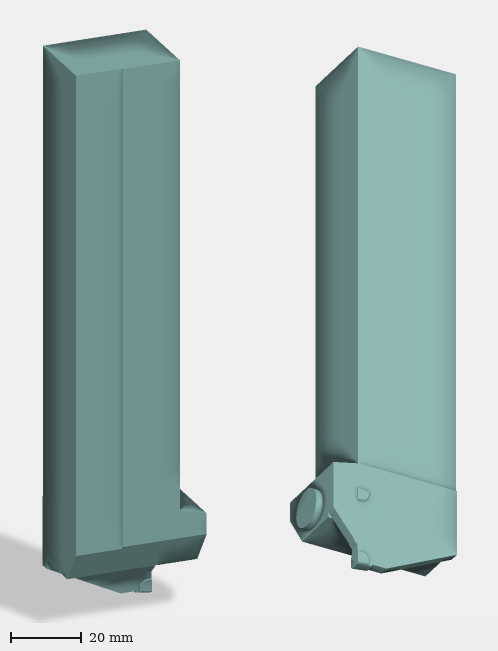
import cadquery as cq
import math

total_length = 171.4
overall_width = 26.0
overall_depth = 42.2

shank_left = 1.0
shank_depth = 31.7
relief_width = 0.5
relief_depth = 14.0

head_left = 0.5
head_depth = 40.0
head_top = 33.2
head_back_top = 31.4
block_bottom = 14.7
corner_top = 25.0
corner_left = 19.0

blade_thickness = 3.0
blade_right = head_left + blade_thickness
blade_fillet = 1.9
blade_bottom = 1.0
blade_front_height = 12.2
blade_toe_depth = 22.8
blade_back_height = 16.5

screw_diameter = 11.8
screw_x = 12.5
screw_z = 21.8

insert_length = 25.2
insert_front = 27.5
insert_back = 32.2
insert_ridge_back = 33.2
ridge_half_length = 5.1
ridge_ramp = 1.2
end_relief = 0.5
tip_width = 4.1
tip_bevel = 0.3
tip_front = 28.5
tip_height = 4.3
tip_round = 2.5
insert_middle = insert_length / 2

slope_foot_depth = insert_back
slope_foot_height = 6.5


def extrude_along_x(points, left, right):
    """Solid with a Y-Z outline between two X positions."""
    return cq.Workplane("YZ").workplane(offset=left).polyline(points).close().extrude(right - left)


def make_shank():
    shank_height = total_length - block_bottom
    return (
        cq.Workplane("XY", origin=(0, 0, block_bottom))
        .moveTo(shank_left, 0)
        .lineTo(overall_width - relief_width, 0)
        .lineTo(overall_width - relief_width, relief_depth)
        .lineTo(overall_width, relief_depth)
        .lineTo(overall_width, shank_depth)
        .lineTo(shank_left, shank_depth)
        .close()
        .extrude(shank_height)
    )


def make_block():
    block_outline = [
        (0, block_bottom),
        (head_depth, block_bottom),
        (head_depth, head_back_top),
        (shank_depth, head_top),
        (0, head_top),
    ]
    block = extrude_along_x(block_outline, blade_right, overall_width)
    side_relief = cq.Workplane("XY").box(
        relief_width, relief_depth, head_top, centered=False
    ).translate((overall_width - relief_width, 0, 0))
    return block.cut(side_relief)


def make_blade():
    blade_outline = [
        (0, blade_front_height),
        (blade_toe_depth, blade_bottom),
        (insert_front, blade_bottom),
        (slope_foot_depth, slope_foot_height),
        (head_depth, blade_back_height),
        (head_depth, head_back_top),
        (shank_depth, head_top),
        (0, head_top),
    ]
    return extrude_along_x(blade_outline, head_left, blade_right)


def make_blade_fillet():
    """Concave fillet between the blade and the underside of the block."""
    slope = (blade_back_height - slope_foot_height) / (head_depth - slope_foot_depth)
    fillet_bottom = block_bottom - blade_fillet
    fillet_back = slope_foot_depth + (fillet_bottom - slope_foot_height) / slope
    arc_offset = blade_fillet * (1 - math.sqrt(0.5))
    return (
        cq.Workplane("XZ")
        .moveTo(blade_right, block_bottom)
        .lineTo(blade_right + blade_fillet, block_bottom)
        .threePointArc(
            (blade_right + arc_offset, block_bottom - arc_offset),
            (blade_right, fillet_bottom),
        )
        .close()
        .extrude(-fillet_back)
    )


def make_corner_cut():
    """Wedge removed from the lower +X corner of the block."""
    return (
        cq.Workplane("XZ")
        .polyline([
            (corner_left, block_bottom),
            (overall_width, block_bottom),
            (overall_width, corner_top),
        ])
        .close()
        .extrude(-head_depth)
    )


def make_screw_head():
    return (
        cq.Workplane("XZ", origin=(screw_x, head_depth, screw_z))
        .circle(screw_diameter / 2)
        .extrude(head_depth - overall_depth)
    )


def make_tip():
    """Widened cutting tip with bevelled sides, at the lower end of the insert."""
    return (
        cq.Workplane("YZ")
        .moveTo(insert_back, 0)
        .lineTo(insert_back, tip_height)
        .lineTo(tip_front + tip_round, tip_height)
        .threePointArc(
            (
                tip_front + tip_round * (1 - math.sqrt(0.5)),
                tip_height - tip_round * (1 - math.sqrt(0.5)),
            ),
            (tip_front, tip_height - tip_round),
        )
        .lineTo(tip_front, end_relief)
        .close()
        .extrude(tip_width)
        .faces("<X or >X")
        .edges("not >Y")
        .chamfer(tip_bevel)
    )


def make_insert():
    insert_outline = [
        (insert_front, end_relief),
        (insert_back, 0),
        (insert_back, insert_middle - ridge_half_length - ridge_ramp),
        (insert_ridge_back, insert_middle - ridge_half_length),
        (insert_ridge_back, insert_middle + ridge_half_length),
        (insert_back, insert_middle + ridge_half_length + ridge_ramp),
        (insert_back, insert_length),
        (insert_front, insert_length - end_relief),
    ]
    body = extrude_along_x(insert_outline, head_left, blade_right)
    lower_tip = make_tip()
    upper_tip = lower_tip.mirror("XY", (0, 0, insert_middle))
    return body.union(lower_tip).union(upper_tip)


def make_holder(insert):
    """Shank, head, blade and screw head, with a seat matching the insert."""
    holder = make_shank().union(make_block()).union(make_blade()).union(make_blade_fillet())
    holder = holder.cut(make_corner_cut()).union(make_screw_head())
    return holder.cut(insert)


insert = make_insert()
holder = make_holder(insert)

result = cq.Compound.makeCompound([holder.val(), insert.val()])